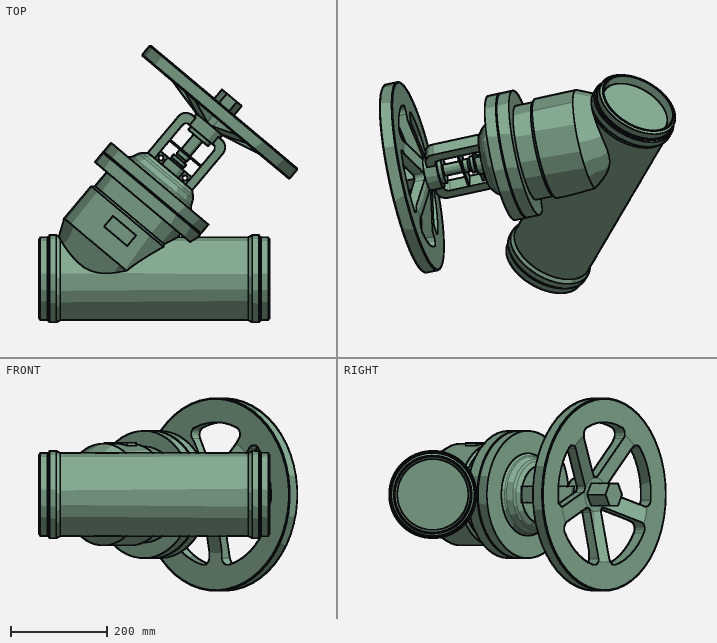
import cadquery as cq
import math


branch_angle = 50.0
pipe_length = 479.5
pipe_left = -85.5
pipe_right = pipe_left + pipe_length
pipe_radius = 86.0
end_chamfer_length = 3.5
end_chamfer_depth = 5.0
recess_mouth_radius = 79.0
recess_floor_radius = 73.5
recess_depth = 16.5
bead_radius = 91.0
bead_toe_radius = 87.5
bead_start = 17.0
bead_toe = 20.5
bead_top_start = 22.5
bead_top_end = 36.0
bead_end = 45.0

cone_end_radius = 73.0
cone_top = 75.0
body_radius = 106.0
shoulder_base = 162.0
shoulder_top = 167.5
neck_radius = 100.0
flange_radius = 132.0
lower_flange_base = 205.5
joint_base = 231.0
joint_top = 233.5
flange_top = 257.5

plate_width = 62.5
plate_base = 115.0
plate_height = 29.0
plate_face = 107.0

bonnet_outline = [
    (85.5, flange_top),
    (81.5, 262.0),
    (79.5, 265.0),
    (73.5, 278.0),
    (69.5, 283.0),
    (60.0, 291.0),
]
bonnet_top = bonnet_outline[-1][1]

stem_radius = 12.0
gland_radius = 24.0
gland_top = 310.5
gland_collar_radius = 17.0
gland_collar_base = 315.0
gland_collar_top = 323.0
gland_throat_radius = 15.0
stem_nut_radius = 14.0
stem_nut_base = 328.5
ear_thickness = 17.0
ear_hole_spacing = 65.0
ear_hole_height = 300.0
ear_hole_diameter = 10.5
guide_plate_base = 339.0
guide_plate_thickness = 3.0

yoke_half_width = 60.5
yoke_bar = 18.5
yoke_top = 410.0
yoke_thickness = 34.0
yoke_outer_fillet = 20.0
yoke_inner_fillet = 10.5
yoke_hub_radius = 35.0
yoke_hub_base = 390.5
yoke_lip_radius = 27.0
yoke_lip_base = 381.5

wheel_radius = 200.0
rim_base = 437.5
rim_top = 465.0
rim_edge = 2.0
dish_base_radius = 119.5
dish_top_radius = 140.0
hub_radius = 35.0
hub_base = 418.0
hub_top = 440.5
window_radius = 150.0
spoke_count = 5
spoke_width = 34.5
window_outer_fillet = 15.0
window_inner_fillet = 9.0
wheel_nut_flats = 46.5
wheel_nut_top = 490.5


def turned(outline):
    """Revolve a closed (radius, height) outline about the local Z axis."""
    return cq.Workplane("XZ").polyline(outline).close().revolve(360, (0, 0), (0, 1))


def rod(radius, base, top):
    """An upright cylinder on the local Z axis."""
    return cq.Workplane("XY").workplane(offset=base).circle(radius).extrude(top - base)


def upright_slab(width, base, top, thickness):
    """A box standing on the local Z axis, centred across its width and thickness."""
    return cq.Workplane("XY").workplane(offset=base).rect(width, thickness).extrude(top - base)


def make_pipe():
    half_outline = [
        (0, pipe_radius - end_chamfer_depth),
        (end_chamfer_length, pipe_radius),
        (bead_start, pipe_radius),
        (bead_toe, bead_toe_radius),
        (bead_top_start, bead_radius),
        (bead_top_end, bead_radius),
        (bead_end, pipe_radius),
    ]
    recess = [(recess_depth, 0), (recess_depth, recess_floor_radius), (0, recess_mouth_radius)]
    left = [(pipe_left + x, r) for x, r in recess + half_outline]
    right = [(pipe_right - x, r) for x, r in reversed(recess + half_outline)]
    return cq.Workplane("XY").polyline(left + right).close().revolve(360, (0, 0), (1, 0))


def make_body():
    """Cone-bottomed body, its neck, the flange pair and the bonnet as one turned piece."""
    profile = (
        cq.Workplane("XZ")
        .moveTo(0, 0)
        .lineTo(cone_end_radius, 0)
        .lineTo(body_radius, cone_top)
        .lineTo(body_radius, shoulder_base)
        .lineTo(neck_radius, shoulder_top)
        .lineTo(neck_radius, lower_flange_base)
        .lineTo(flange_radius, lower_flange_base)
        .lineTo(flange_radius, joint_base)
        .lineTo(neck_radius, joint_base)
        .lineTo(neck_radius, joint_top)
        .lineTo(flange_radius, joint_top)
        .lineTo(flange_radius, flange_top)
    )
    for radius, height in bonnet_outline:
        profile = profile.lineTo(radius, height)
    return profile.lineTo(0, bonnet_top).close().revolve(360, (0, 0), (0, 1))


def make_label_plate():
    return (
        cq.Workplane("XY")
        .workplane(offset=plate_base)
        .center(0, plate_face / 2)
        .rect(plate_width, plate_face)
        .extrude(plate_height)
    )


def make_stem_and_gland():
    inner_width = 2 * (yoke_half_width - yoke_bar)
    stem = rod(stem_radius, bonnet_top, wheel_nut_top)
    gland = turned([
        (0, bonnet_top),
        (gland_radius, bonnet_top),
        (gland_radius, gland_top),
        (gland_throat_radius, gland_top),
        (gland_collar_radius, gland_collar_base),
        (gland_collar_radius, gland_collar_top),
        (0, gland_collar_top),
    ])
    stem_nut = rod(stem_nut_radius, stem_nut_base, guide_plate_base)
    ears = (
        upright_slab(inner_width, bonnet_top, gland_top, ear_thickness)
        .faces(">Y")
        .workplane(origin=(0, 0, ear_hole_height))
        .rarray(ear_hole_spacing, 6, 2, 1)
        .hole(ear_hole_diameter)
    )
    guide_top = guide_plate_base + guide_plate_thickness
    guide_plate = upright_slab(inner_width, guide_plate_base, guide_top, yoke_thickness)
    return ears.union(gland).union(stem).union(stem_nut).union(guide_plate)


def make_yoke():
    outer = (
        upright_slab(2 * yoke_half_width, bonnet_top, yoke_top, yoke_thickness)
        .edges("|Y and >Z")
        .fillet(yoke_outer_fillet)
    )
    opening = (
        upright_slab(2 * (yoke_half_width - yoke_bar), bonnet_top, yoke_top - yoke_bar, yoke_thickness)
        .edges("|Y and >Z")
        .fillet(yoke_inner_fillet)
    )
    hub = rod(yoke_hub_radius, yoke_hub_base, hub_base)
    lip = rod(yoke_lip_radius, yoke_lip_base, yoke_hub_base)
    return outer.cut(opening).union(hub).union(lip)


def make_window(index):
    """One opening between two parallel-sided spokes, as a prism through the wheel."""
    half_pitch = math.pi / spoke_count
    corner = spoke_width / 2 / math.sin(half_pitch)
    reach = half_pitch - math.asin(spoke_width / 2 / window_radius)
    side_x = window_radius * math.sin(reach)
    side_y = window_radius * math.cos(reach)
    window = (
        cq.Workplane("XY")
        .workplane(offset=hub_base)
        .moveTo(0, corner)
        .lineTo(side_x, side_y)
        .threePointArc((0, window_radius), (-side_x, side_y))
        .close()
        .extrude(rim_top - hub_base)
    )
    window = window.edges("|Z").edges(">Y").fillet(window_outer_fillet)
    window = window.edges("|Z").edges("<Y").fillet(window_inner_fillet)
    return window.rotate((0, 0, 0), (0, 0, 1), index * 360 / spoke_count)


def make_handwheel():
    wheel = turned([
        (0, hub_base),
        (hub_radius, hub_base),
        (dish_base_radius, rim_base),
        (wheel_radius - rim_edge, rim_base),
        (wheel_radius, rim_base + rim_edge),
        (wheel_radius, rim_top - rim_edge),
        (wheel_radius - rim_edge, rim_top),
        (dish_top_radius, rim_top),
        (hub_radius, hub_top),
        (0, hub_top),
    ])
    for index in range(spoke_count):
        wheel = wheel.cut(make_window(index))
    nut_corners = wheel_nut_flats / math.cos(math.pi / 6)
    nut = (
        cq.Workplane("XY")
        .workplane(offset=hub_top)
        .polygon(6, nut_corners)
        .extrude(wheel_nut_top - hub_top)
    )
    return wheel.union(nut)


tilt = math.radians(branch_angle)
branch_plane = cq.Plane(
    origin=(0, 0, 0),
    xDir=(-math.sin(tilt), math.cos(tilt), 0),
    normal=(math.cos(tilt), math.sin(tilt), 0),
)
branch = (
    make_body()
    .union(make_label_plate())
    .union(make_yoke())
    .union(make_stem_and_gland())
    .union(make_handwheel())
)
placed_branch = branch.val().moved(cq.Location(branch_plane))
result = make_pipe().union(cq.Workplane("XY").newObject([placed_branch]))